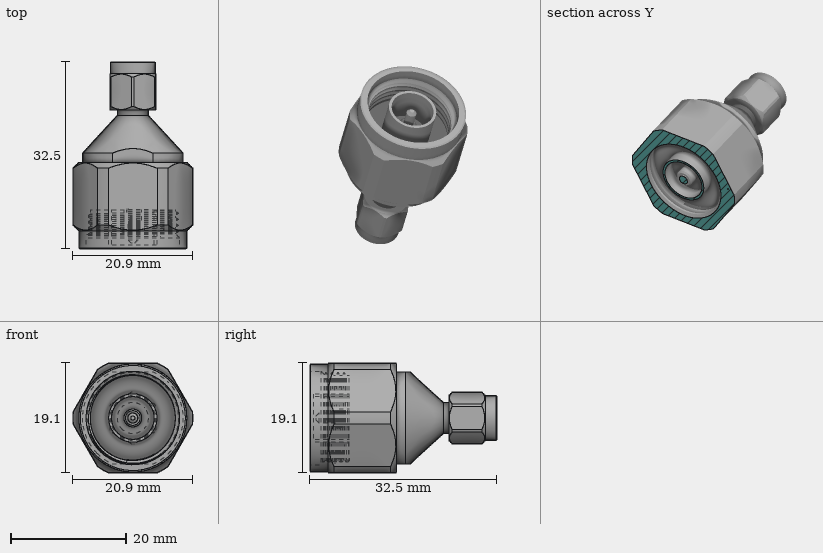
import cadquery as cq
import math


TOTAL_LENGTH = 32.5
LARGE_HEX_START = 3.15
LARGE_HEX_END = 15.07
CONE_START = 16.65
CONE_END = 23.22
SMALL_HEX_START = 24.15
SMALL_HEX_END = 30.5

LARGE_RIM_RADIUS = 9.385
RIM_CHAMFER = 0.25
RIM_CHAMFER_DEPTH = 0.15
LARGE_HEX_FLATS = 19.05
LARGE_HEX_CORNERS = 20.87
LARGE_HEX_END_RADIUS = 9.4
LARGE_HEX_TURN = 0

COLLAR_RADIUS = 8.75
COLLAR_FLATS = 16.0
NECK_RADIUS = 2.7

SMALL_HEX_FLATS = 8.0
SMALL_HEX_CORNERS = 8.98
SMALL_HEX_END_RADIUS = 3.9
SMALL_HEX_TURN = 30
SMALL_RIM_RADIUS = SMALL_HEX_END_RADIUS
SMALL_RIM_CHAMFER = 0.12

ENTRY_RADIUS = 8.13
ENTRY_DEPTH = 1.95
BORE_RADIUS = 7.4
BORE_LEAD_END = 2.65
SOCKET_DEPTH = 6.8

INCH = 25.4
THREADS_PER_INCH = 24
THREAD_PITCH = INCH / THREADS_PER_INCH
THREAD_MAJOR_RADIUS = 7.94
THREAD_START = 0.92
THREAD_END = 6.5
GROOVE_WIDTH = 0.7
GROOVE_OVERLAP = 0.1

SLEEVE_OUTER_RADIUS = 4.2
SLEEVE_INNER_RADIUS = 3.71
SLEEVE_TIP = 0.65
PIN_BASE_RADIUS = 1.55
PIN_SHOULDER_RADIUS = 1.27
PIN_SHOULDER = 4.5
PIN_RADIUS = 0.86
PIN_CONE_END = 1.6
PIN_TIP_RADIUS = 0.36
PIN_TIP = 1.05


def cylinder(radius, start, end):
    """Solid cylinder on the axis between two stations."""
    return cq.Workplane("XY").workplane(offset=start).circle(radius).extrude(end - start)


def revolved(points):
    """Solid of revolution from a closed outline of (radius, station) points."""
    return cq.Workplane("XZ").polyline(points).close().revolve(360, (0, 0, 0), (0, 1, 0))


def hex_nut(flats, corners, end_radius, start, end, turn):
    """Hexagon with rounded corners and 45 degree turned chamfers on both ends."""
    corner_radius = corners / 2
    chamfer = corner_radius - end_radius
    across_points = flats / math.cos(math.pi / 6)
    prism = (
        cq.Workplane("XY").workplane(offset=start).polygon(6, across_points)
        .extrude(end - start).rotate((0, 0, 0), (0, 0, 1), turn)
    )
    turned_blank = cylinder(corner_radius, start, end).faces("|Z").edges().chamfer(chamfer)
    return prism.intersect(turned_blank)


def large_nut_rim():
    rim = cylinder(LARGE_RIM_RADIUS, 0, LARGE_HEX_START)
    return rim.faces("<Z").edges().chamfer(RIM_CHAMFER_DEPTH, RIM_CHAMFER)


def tapered_body():
    body = revolved([
        (0, LARGE_HEX_END),
        (COLLAR_RADIUS, LARGE_HEX_END),
        (COLLAR_RADIUS, CONE_START),
        (NECK_RADIUS, CONE_END),
        (NECK_RADIUS, SMALL_HEX_START),
        (0, SMALL_HEX_START),
    ])
    flats = (
        cq.Workplane("XY").workplane(offset=LARGE_HEX_END)
        .rect(2 * COLLAR_RADIUS, COLLAR_FLATS).extrude(SMALL_HEX_START - LARGE_HEX_END)
    )
    return body.intersect(flats)


def small_nut_rim():
    rim = cylinder(SMALL_RIM_RADIUS, SMALL_HEX_END, TOTAL_LENGTH)
    return rim.faces(">Z").edges().chamfer(SMALL_RIM_CHAMFER)


def socket():
    """Stepped bore of the large nut, with a lead-in cone ahead of the thread."""
    return revolved([
        (0, 0),
        (ENTRY_RADIUS, 0),
        (ENTRY_RADIUS, ENTRY_DEPTH),
        (BORE_RADIUS, BORE_LEAD_END),
        (BORE_RADIUS, SOCKET_DEPTH),
        (0, SOCKET_DEPTH),
    ])


def thread_groove():
    """V-shaped helical cutter that starts inside the bore and ends at the socket floor."""
    helix = cq.Wire.makeHelix(
        THREAD_PITCH, THREAD_END - THREAD_START, BORE_RADIUS, cq.Vector(0, 0, THREAD_START)
    )
    inner_radius = BORE_RADIUS - GROOVE_OVERLAP
    depth = THREAD_MAJOR_RADIUS - BORE_RADIUS
    half_width = GROOVE_WIDTH / 2 * (depth + GROOVE_OVERLAP) / depth
    vee = cq.Workplane("XZ").polyline([
        (inner_radius, THREAD_START - half_width),
        (THREAD_MAJOR_RADIUS, THREAD_START),
        (inner_radius, THREAD_START + half_width),
    ]).close()
    return vee.sweep(cq.Workplane(helix), isFrenet=True)


def sleeve():
    tube = cylinder(SLEEVE_OUTER_RADIUS, SLEEVE_TIP, SOCKET_DEPTH)
    return tube.cut(cylinder(SLEEVE_INNER_RADIUS, SLEEVE_TIP, SOCKET_DEPTH))


def centre_pin():
    shoulder_height = PIN_BASE_RADIUS - PIN_SHOULDER_RADIUS
    return revolved([
        (0, SOCKET_DEPTH),
        (PIN_BASE_RADIUS, SOCKET_DEPTH),
        (PIN_BASE_RADIUS, PIN_SHOULDER + shoulder_height),
        (PIN_SHOULDER_RADIUS, PIN_SHOULDER),
        (PIN_RADIUS, PIN_SHOULDER),
        (PIN_RADIUS, PIN_CONE_END),
        (PIN_TIP_RADIUS, PIN_TIP),
        (0, PIN_TIP),
    ])


large_hex = hex_nut(
    LARGE_HEX_FLATS, LARGE_HEX_CORNERS, LARGE_HEX_END_RADIUS,
    LARGE_HEX_START, LARGE_HEX_END, LARGE_HEX_TURN,
)
small_hex = hex_nut(
    SMALL_HEX_FLATS, SMALL_HEX_CORNERS, SMALL_HEX_END_RADIUS,
    SMALL_HEX_START, SMALL_HEX_END, SMALL_HEX_TURN,
)

adapter = large_nut_rim().union(large_hex).cut(socket()).cut(thread_groove())
adapter = adapter.union(tapered_body()).union(small_hex).union(small_nut_rim())
adapter = adapter.union(sleeve()).union(centre_pin())

result = adapter.rotate((0, 0, 0), (1, 0, 0), -90)